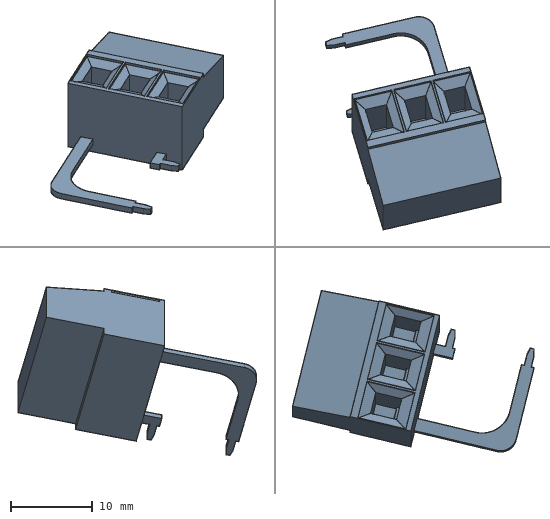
import cadquery as cq

overall_length = 27.5

housing_width = 15.02
housing_length = 15.02
front_block_length = 7.7
housing_height = 9.5
rear_underside_height = 1.18
rear_end_height = 7.48
rear_slope_top_height = 9.0

pole_count = 3
pole_pitch = housing_width / pole_count
mouth_left_margin = 0.1
mouth_width = 4.73
mouth_front = 0.65
mouth_back = 6.75
mouth_rim_depth = 0.3
throat_width = 2.7
throat_front = 2.1
throat_back = 5.4
throat_height = 8.72
ledge_back = 2.72
ledge_height = 2.9
floor_height = 1.87

pin_bottom_height = 1.1
pin_thickness = 0.8
shoulder_x = 12.92
tip_end_x = 15.2
tip_taper_length = 0.85
tip_width = 0.88
tip_end_width = 0.5
tip_spacing = 10.0

long_pin_left = 1.7
long_pin_width = 1.6
long_pin_reach = overall_length - housing_length
bend_outer_radius = 1.98
bend_inner_radius = 3.5

short_pin_width = 1.25
short_pin_reach = 2.45

long_tip_y = long_pin_width / 2 - long_pin_reach
short_tip_y = long_tip_y + tip_spacing


def make_housing():
    """Side profile in the YZ plane, extruded across the width."""
    profile = [
        (0, 0),
        (front_block_length, 0),
        (front_block_length, rear_underside_height),
        (housing_length, rear_underside_height),
        (housing_length, rear_end_height),
        (front_block_length, rear_slope_top_height),
        (front_block_length, housing_height),
        (0, housing_height),
    ]
    return cq.Workplane("YZ").polyline(profile).close().extrude(housing_width)


def block(x_start, y_start, z_start, x_end, y_end, z_end):
    """Box between two opposite corners."""
    size = (x_end - x_start, y_end - y_start, z_end - z_start)
    return cq.Workplane("XY").box(*size, centered=False).translate((x_start, y_start, z_start))


def make_entry(pole):
    """Cutter for one entry: straight rim, tapered funnel, then a throat with a front ledge."""
    mouth_left = pole * pole_pitch + mouth_left_margin
    mouth_right = mouth_left + mouth_width
    throat_left = (pole + 0.5) * pole_pitch - throat_width / 2
    throat_right = throat_left + throat_width
    rim_height = housing_height - mouth_rim_depth

    rim = block(mouth_left, mouth_front, rim_height, mouth_right, mouth_back, housing_height)
    mouth_center = ((mouth_left + mouth_right) / 2, (mouth_front + mouth_back) / 2)
    throat_center = ((throat_left + throat_right) / 2, (throat_front + throat_back) / 2)
    funnel = (
        cq.Workplane("XY", origin=(0, 0, throat_height))
        .center(*throat_center)
        .rect(throat_width, throat_back - throat_front)
        .workplane(offset=rim_height - throat_height)
        .center(mouth_center[0] - throat_center[0], mouth_center[1] - throat_center[1])
        .rect(mouth_width, mouth_back - mouth_front)
        .loft(ruled=True)
    )
    throat = block(throat_left, throat_front, ledge_height, throat_right, throat_back, throat_height)
    well = block(throat_left, ledge_back, floor_height, throat_right, throat_back, ledge_height)
    return rim.union(funnel).union(throat).union(well)


def pin_plane():
    """Workplane at the underside of the contact pins."""
    return cq.Workplane("XY", origin=(0, 0, pin_bottom_height))


def make_tip(center_y):
    """Narrow pin end pointing along +X with a tapered point."""
    taper_x = tip_end_x - tip_taper_length
    half = tip_width / 2
    end_half = tip_end_width / 2
    outline = [
        (shoulder_x, center_y - half),
        (taper_x, center_y - half),
        (tip_end_x, center_y - end_half),
        (tip_end_x, center_y + end_half),
        (taper_x, center_y + half),
        (shoulder_x, center_y + half),
    ]
    return pin_plane().polyline(outline).close().extrude(pin_thickness)


def make_long_pin():
    """L-shaped strip with a rounded bend."""
    left = long_pin_left
    right = left + long_pin_width
    bottom = -long_pin_reach
    top = bottom + long_pin_width
    strip = (
        pin_plane()
        .moveTo(left, 0)
        .lineTo(left, bottom + bend_outer_radius)
        .radiusArc((left + bend_outer_radius, bottom), -bend_outer_radius)
        .lineTo(shoulder_x, bottom)
        .lineTo(shoulder_x, top)
        .lineTo(right + bend_inner_radius, top)
        .radiusArc((right, top + bend_inner_radius), bend_inner_radius)
        .lineTo(right, 0)
        .close()
        .extrude(pin_thickness)
    )
    return strip.union(make_tip(long_tip_y))


def make_short_pin():
    stub = block(
        shoulder_x - short_pin_width, -short_pin_reach, pin_bottom_height,
        shoulder_x, 0, pin_bottom_height + pin_thickness,
    )
    return stub.union(make_tip(short_tip_y))


result = make_housing()
for pole in range(pole_count):
    result = result.cut(make_entry(pole))
result = result.union(make_long_pin()).union(make_short_pin())